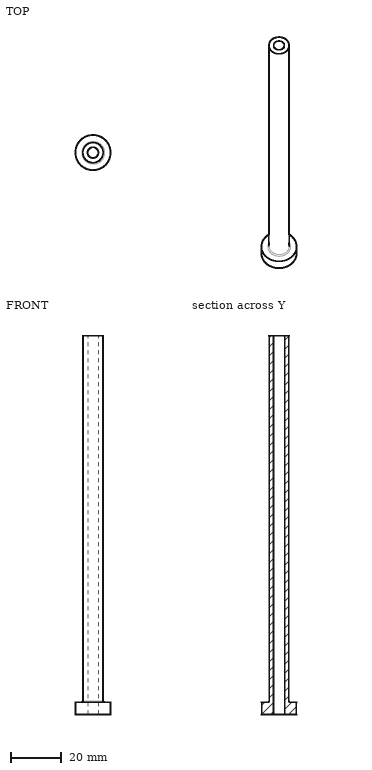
import cadquery as cq

total_length = 150.0
head_diameter = 14.0
head_height = 5.0
shank_diameter = 8.0
bore_diameter = 4.2
neck_fillet_radius = 0.5

head_radius = head_diameter / 2
shank_radius = shank_diameter / 2
bore_radius = bore_diameter / 2


def sleeve_body():
    """Revolve the half section, with the bore as its inner side."""
    half_section = (
        cq.Workplane("XZ")
        .moveTo(bore_radius, 0)
        .lineTo(head_radius, 0)
        .lineTo(head_radius, head_height)
        .lineTo(shank_radius + neck_fillet_radius, head_height)
        .radiusArc((shank_radius, head_height + neck_fillet_radius), neck_fillet_radius)
        .lineTo(shank_radius, total_length)
        .lineTo(bore_radius, total_length)
        .close()
    )
    return half_section.revolve(360, (0, 0, 0), (0, 1, 0))


result = sleeve_body()